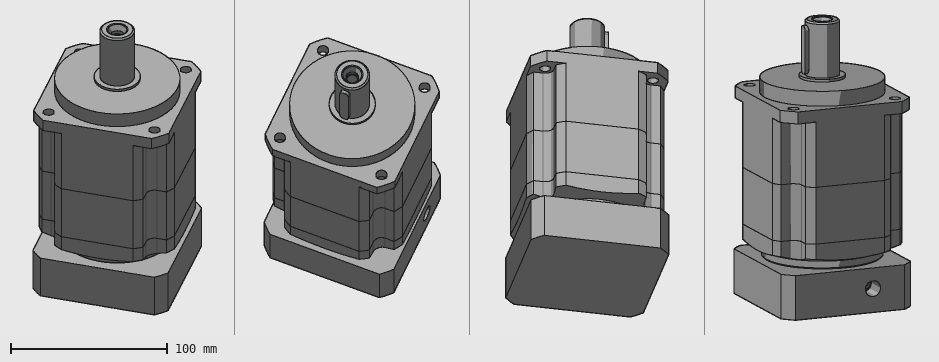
import cadquery as cq
import math

WIDTH = 90.0
HALF_WIDTH = WIDTH / 2
TOTAL_HEIGHT = 184.5

ADAPTER_TOP = 29.3
COLLAR_TOP = 34.7
REAR_TOP = 48.7
RING_GEAR_TOP = 86.0
FLANGE_BOTTOM = 128.8
FLANGE_TOP = 136.7
PILOT_TOP = 146.5
SEAL_TOP = 148.2

ADAPTER_CORNER_RADIUS = 58.9
FLANGE_CORNER_RADIUS = 57.7
BODY_CORNER_RADIUS = 51.0

HOLE_OFFSET = 35.2
HOLE_RADIUS = 3.5
CHANNEL_RADIUS = 5.7

PILOT_RADIUS = 40.0
SEAL_RADIUS = 14.8
SHAFT_RADIUS = 11.0
SHAFT_CHAMFER = 1.1

FLARE_RADIUS = 6.8
FLARE_DEPTH = 0.4
CONE_MOUTH_RADIUS = 6.0
CENTRE_CONE_ANGLE = 60
RELIEF_RADIUS = 4.0
RELIEF_BOTTOM_DEPTH = 6.0
TAPPING_RADIUS = 3.3
TAPPING_DEPTH = 25.0
DRILL_TIP_ANGLE = 120

KEY_WIDTH = 6.0
KEY_LENGTH = 32.0
KEY_BOTTOM_Z = 149.5
KEY_OUTER_Y = 13.3
KEY_HEIGHT = 6.0

COLLAR_RADIUS = 39.0
COLLAR_CHAMFER = 1.0
CONE_OUTER_RADIUS = 51.7
CONE_HEIGHT = 4.2

ACCESS_Y = -15.9
ACCESS_Z = 15.7
ACCESS_RADIUS = 5.2
ACCESS_DEPTH = 14.8
HEAD_RADIUS = 5.0
HEAD_RISE = 0.5
HEAD_CHAMFER = 0.7
SOCKET_ACROSS_FLATS = 5.2
SOCKET_DEPTH = 3.0


def cylinder(radius, bottom, top):
    """Cylinder on the gearbox axis between two heights."""
    return cq.Workplane("XY").workplane(offset=bottom).circle(radius).extrude(top - bottom)


def trimmed_square(corner_radius, bottom, top):
    """Square block whose corners are trimmed by a cylinder on the axis."""
    block = cq.Workplane("XY").workplane(offset=bottom).rect(WIDTH, WIDTH).extrude(top - bottom)
    return block.intersect(cylinder(corner_radius, bottom, top))


def corner_channels(bottom, top):
    """Four channels, round about the mounting holes and open to both outer faces."""
    reach = HALF_WIDTH
    height = top - bottom
    channels = cq.Workplane("XY")
    for sx in (-1, 1):
        for sy in (-1, 1):
            inner = HOLE_OFFSET - CHANNEL_RADIUS
            channel = (
                cq.Workplane("XY")
                .workplane(offset=bottom)
                .center(sx * (inner + reach / 2), sy * (inner + reach / 2))
                .rect(reach, reach)
                .extrude(height)
            )
            inner_edge = cq.selectors.NearestToPointSelector((sx * inner, sy * inner, bottom + height / 2))
            channels.add(channel.edges("|Z").edges(inner_edge).fillet(CHANNEL_RADIUS))
    return channels.combine()


def body_section(bottom, top):
    """Length of gearbox body with its corner channels."""
    return trimmed_square(BODY_CORNER_RADIUS, bottom, top).cut(corner_channels(bottom, top))


def make_shaft_envelope():
    """Plain shaft with its chamfered end, also the shape of its seat in the housing."""
    return cylinder(SHAFT_RADIUS, FLANGE_TOP, TOTAL_HEIGHT).faces(">Z").chamfer(SHAFT_CHAMFER)


def make_key():
    """Feather key with round ends, standing in the +Y side of the shaft."""
    return (
        cq.Workplane("XZ", origin=(0, KEY_OUTER_Y, KEY_BOTTOM_Z + KEY_LENGTH / 2))
        .slot2D(KEY_LENGTH, KEY_WIDTH, 90)
        .extrude(KEY_HEIGHT)
    )


def make_centre_hole():
    """Stepped centre hole with a drill tip, as a solid to cut from the shaft."""
    cone_depth = (CONE_MOUTH_RADIUS - RELIEF_RADIUS) / math.tan(math.radians(CENTRE_CONE_ANGLE / 2))
    tip_length = TAPPING_RADIUS / math.tan(math.radians(DRILL_TIP_ANGLE / 2))
    radius_depth_pairs = [
        (0, 0),
        (FLARE_RADIUS, 0),
        (CONE_MOUTH_RADIUS, FLARE_DEPTH),
        (RELIEF_RADIUS, FLARE_DEPTH + cone_depth),
        (RELIEF_RADIUS, RELIEF_BOTTOM_DEPTH),
        (TAPPING_RADIUS, RELIEF_BOTTOM_DEPTH),
        (TAPPING_RADIUS, TAPPING_DEPTH),
        (0, TAPPING_DEPTH + tip_length),
    ]
    profile = [(radius, TOTAL_HEIGHT - depth) for radius, depth in radius_depth_pairs]
    return cq.Workplane("XZ").polyline(profile).close().revolve(360, (0, 0, 0), (0, 1, 0))


def make_shaft(key):
    """Output shaft with its centre hole and keyway."""
    return make_shaft_envelope().cut(make_centre_hole()).cut(key)


def make_output_housing():
    """Square flange, pilot, seal ring and upper length of the body."""
    holes = (
        cq.Workplane("XY")
        .workplane(offset=FLANGE_BOTTOM)
        .rect(2 * HOLE_OFFSET, 2 * HOLE_OFFSET, forConstruction=True)
        .vertices()
        .circle(HOLE_RADIUS)
        .extrude(FLANGE_TOP - FLANGE_BOTTOM)
    )
    return (
        body_section(RING_GEAR_TOP, FLANGE_BOTTOM)
        .union(trimmed_square(FLANGE_CORNER_RADIUS, FLANGE_BOTTOM, FLANGE_TOP).cut(holes))
        .union(cylinder(PILOT_RADIUS, FLANGE_TOP, PILOT_TOP))
        .union(cylinder(SEAL_RADIUS, PILOT_TOP, SEAL_TOP))
        .cut(make_shaft_envelope())
    )


def make_ring_gear():
    """Middle length of the body."""
    return body_section(REAR_TOP, RING_GEAR_TOP)


def make_rear_housing():
    """Lower end of the body with its conical underside and collar."""
    cone_top = COLLAR_TOP + CONE_HEIGHT
    envelope = (
        cq.Workplane("XZ")
        .moveTo(0, COLLAR_TOP)
        .lineTo(COLLAR_RADIUS, COLLAR_TOP)
        .lineTo(CONE_OUTER_RADIUS, cone_top)
        .lineTo(CONE_OUTER_RADIUS, REAR_TOP)
        .lineTo(0, REAR_TOP)
        .close()
        .revolve(360, (0, 0, 0), (0, 1, 0))
    )
    collar = cylinder(COLLAR_RADIUS, ADAPTER_TOP, COLLAR_TOP).faces("<Z").chamfer(COLLAR_CHAMFER)
    return body_section(COLLAR_TOP, REAR_TOP).intersect(envelope).union(collar)


def make_adapter():
    """Adapter plate; the clamp screw head stands on the floor of its access hole."""
    floor_x = ACCESS_DEPTH - HALF_WIDTH
    access_mouth = cq.Workplane("YZ", origin=(-HALF_WIDTH, ACCESS_Y, ACCESS_Z))
    access = access_mouth.circle(ACCESS_RADIUS).extrude(ACCESS_DEPTH)

    head_face = cq.Workplane("YZ", origin=(floor_x - HEAD_CHAMFER, ACCESS_Y, ACCESS_Z + HEAD_RISE))
    head = head_face.circle(HEAD_RADIUS).extrude(2 * HEAD_CHAMFER).faces("<X").chamfer(HEAD_CHAMFER)
    socket_across_corners = SOCKET_ACROSS_FLATS / math.cos(math.pi / 6)
    socket = (
        head_face.transformed(rotate=(0, 0, 30))
        .polygon(6, socket_across_corners)
        .extrude(SOCKET_DEPTH)
    )
    plate = trimmed_square(ADAPTER_CORNER_RADIUS, 0, ADAPTER_TOP)
    return plate.cut(access.cut(head)).cut(socket)


key = make_key()
shaft = make_shaft(key)
output_housing = make_output_housing()
ring_gear = make_ring_gear()
rear_housing = make_rear_housing()
adapter = make_adapter()

result = cq.Compound.makeCompound([
    key.val(),
    shaft.val(),
    output_housing.val(),
    ring_gear.val(),
    rear_housing.val(),
    adapter.val(),
])